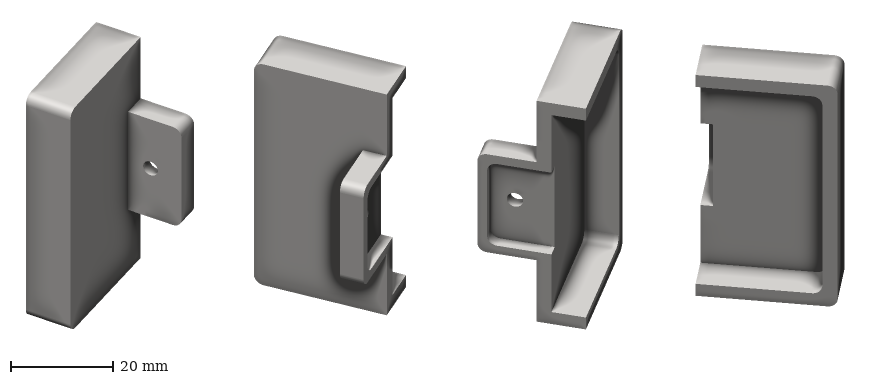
import cadquery as cq

height = 54.0
tray_width = 28.0
tray_depth = 10.0
end_wall = 2.9
front_wall = 3.0
floor_thickness = 3.0
corner_radius = 2.0

overall_depth = 22.0
tab_height = 24.0
tab_thickness = 5.0
hole_diameter = 3.3
hole_from_floor = 5.0

relief_height = 20.0
relief_depth = 2.5
tab_rim = (tab_height - relief_height) / 2

cavity_depth = tray_depth - floor_thickness


def block(x_start, x_end, y_start, y_end, block_height):
    """Box between the given X and Y limits, centred on Z = 0."""
    return cq.Workplane("XY").box(
        x_end - x_start, y_end - y_start, block_height, centered=(False, False, True)
    ).translate((x_start, y_start, 0))


def make_tray():
    body = block(0, tray_depth, 0, tray_width, height)
    body = body.edges("|X and <Y").fillet(corner_radius)
    cavity = block(0, cavity_depth, front_wall, tray_width, height - 2 * end_wall)
    cavity = cavity.edges("|X and <Y").fillet(corner_radius)
    return body.cut(cavity)


def make_tab():
    tab = block(cavity_depth, overall_depth, tray_width - tab_thickness, tray_width, tab_height)
    return tab.edges("|Y and >X").fillet(corner_radius)


def make_relief():
    relief = block(
        cavity_depth, overall_depth - tab_rim, tray_width - relief_depth, tray_width, relief_height
    )
    return relief.edges("|Y and >X").fillet(corner_radius)


def make_screw_hole():
    return (
        cq.Workplane("XZ", origin=(tray_depth + hole_from_floor, tray_width, 0))
        .circle(hole_diameter / 2)
        .extrude(tray_width)
    )


result = make_tray().union(make_tab()).cut(make_relief()).cut(make_screw_hole())